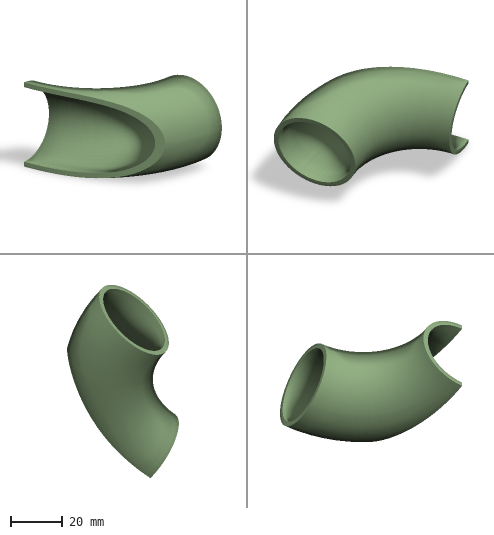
import cadquery as cq

outer_diameter = 35.0
wall = 2.0
overall_length = 62.5
bend_angle = 90
cutter_margin = 6.25

outer_radius = outer_diameter / 2
inner_radius = outer_radius - wall
bend_radius = overall_length - outer_radius


def elbow():
    """Quarter-turn pipe bent about the Z axis, with one open end at X = 0 and the other at Y = 0."""
    ring = cq.Workplane("XZ").center(bend_radius, 0).circle(outer_radius).circle(inner_radius)
    return ring.revolve(bend_angle, (-bend_radius, 0), (-bend_radius, -1))


def saddle_cutter():
    """Material removed so the elbow sits on a straight pipe of the same diameter.

    That pipe runs along X with its axis at Y = -bend_radius. The two equal tubes meet on the
    parabola y = x**2 / (4 * bend_radius) - bend_radius, seen along Z. A quadratic Bezier curve
    reproduces it exactly.
    """
    end_x = overall_length + cutter_margin
    end_y = end_x**2 / (4 * bend_radius) - bend_radius
    bottom_y = -(overall_length + cutter_margin)
    cutter_half_height = outer_radius + cutter_margin
    parabola = [(0, -bend_radius), (end_x / 2, -bend_radius), (end_x, end_y)]
    return (
        cq.Workplane("XY", origin=(0, 0, -cutter_half_height))
        .moveTo(*parabola[0])
        .bezier(parabola[1:], includeCurrent=True)
        .lineTo(end_x, bottom_y)
        .lineTo(0, bottom_y)
        .close()
        .extrude(2 * cutter_half_height)
    )


result = elbow().cut(saddle_cutter())